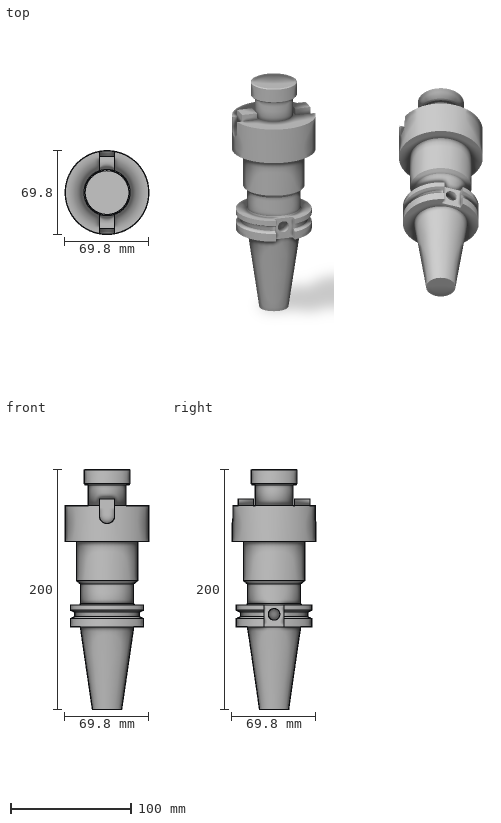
import cadquery as cq

taper_tip_radius = 12.2
taper_top_radius = 22.2
taper_length = 68.5

flange_radius = 31.5
flange_bottom = 69.0
flange_top = 87.2
groove_root_radius = 28.2
groove_lower_edge = 75.8
groove_lower_root = 77.5
groove_upper_root = 81.2
groove_upper_edge = 82.8
drive_slot_width = 16.5
drive_slot_floor = 25.0
drive_hole_radius = 4.8
drive_hole_height = 79.5
drive_hole_depth = 8.0

neck_radius = taper_top_radius
neck_chamfer_width = 0.8
neck_chamfer_height = 1.0
neck_top = 104.5
body_radius = 25.5
body_bottom = 107.5
collar_diameter = 69.8
collar_radius = collar_diameter / 2
collar_bottom = 140.0
collar_top = 169.8

pilot_radius = 15.8
overall_height = 200.0
head_radius = 19.2
head_height = 12.8
head_chamfer = 1.0
head_top_chamfer_height = 0.5
head_bottom = overall_height - head_height

key_width = 12.8
key_inner = 17.0
key_outer = 30.0
key_top = 175.5
key_bottom = 155.0

SIDES = (-1, 1)


def revolve_profile(points):
    """Turn a closed (radius, height) outline around the Z axis."""
    return cq.Workplane("XZ").polyline(points).close().revolve(360, (0, 0, 0), (0, 1, 0))


def key_shape(side, outer):
    """Round-bottomed block from the inner key face out to the given distance along Y."""
    half_width = key_width / 2
    arc_height = key_bottom + half_width
    block = (
        cq.Workplane("XZ", origin=(0, -key_inner, 0))
        .moveTo(-half_width, key_top)
        .lineTo(-half_width, arc_height)
        .threePointArc((0, key_bottom), (half_width, arc_height))
        .lineTo(half_width, key_top)
        .close()
        .extrude(outer - key_inner)
    )
    return block if side < 0 else block.rotate((0, 0, 0), (0, 0, 1), 180)


def drive_slot_cutter(side):
    """Slot through the flange height plus the blind radial hole in its floor."""
    slot_depth = flange_radius - drive_slot_floor
    slot = cq.Workplane("XY", origin=(drive_slot_floor, 0, flange_bottom)).box(
        slot_depth, drive_slot_width, flange_top - flange_bottom, centered=(False, True, False)
    )
    hole_start = drive_slot_floor - drive_hole_depth
    hole = (
        cq.Workplane("YZ", origin=(hole_start, 0, drive_hole_height))
        .circle(drive_hole_radius)
        .extrude(flange_radius - hole_start)
    )
    cutter = slot.union(hole)
    return cutter if side > 0 else cutter.rotate((0, 0, 0), (0, 0, 1), 180)


def make_holder():
    """Shank, flange, body, collar and pilot, with drive slots and key recesses."""
    holder = revolve_profile([
        (0, 0),
        (taper_tip_radius, 0),
        (taper_top_radius, taper_length),
        (taper_top_radius, flange_bottom),
        (flange_radius, flange_bottom),
        (flange_radius, groove_lower_edge),
        (groove_root_radius, groove_lower_root),
        (groove_root_radius, groove_upper_root),
        (flange_radius, groove_upper_edge),
        (flange_radius, flange_top),
        (neck_radius + neck_chamfer_width, flange_top),
        (neck_radius, flange_top + neck_chamfer_height),
        (neck_radius, neck_top),
        (body_radius, body_bottom),
        (body_radius, collar_bottom),
        (collar_radius, collar_bottom),
        (collar_radius, collar_top),
        (pilot_radius, collar_top),
        (pilot_radius, head_bottom),
        (0, head_bottom),
    ])
    for side in SIDES:
        holder = holder.cut(drive_slot_cutter(side))
        holder = holder.cut(key_shape(side, collar_radius))
    return holder


def make_screw_head():
    """Chamfered round head seated on the end of the pilot."""
    return revolve_profile([
        (0, head_bottom),
        (head_radius - head_chamfer, head_bottom),
        (head_radius, head_bottom + head_chamfer),
        (head_radius, overall_height - head_top_chamfer_height),
        (head_radius - head_chamfer, overall_height),
        (0, overall_height),
    ])


holder = make_holder()
screw_head = make_screw_head()
drive_keys = [key_shape(side, key_outer) for side in SIDES]

result = cq.Compound.makeCompound(
    [holder.val(), screw_head.val(), *[key.val() for key in drive_keys]]
)